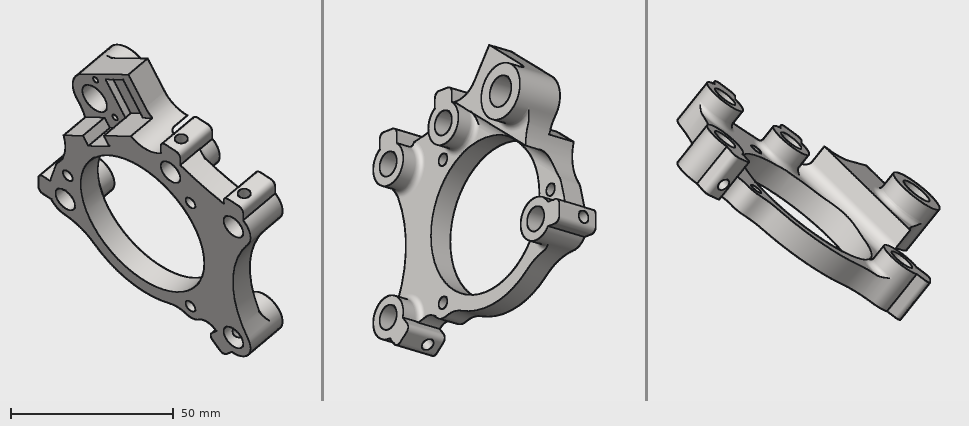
import cadquery as cq
import math


PLATE_BACK = 7.95
STEP_DEPTH = 10.0
BOSS_BACK = 15.0
ARM_BACK = 19.0
SENSOR_BOSS_BACK = 26.5

BORE_RADIUS = 25.2
RING_RADIUS = 30.3

BOLT_HOLE_RADIUS = 4.0
BOSS_RADIUS = 7.0
INNER_BOLT_CIRCLE = 33.5
OUTER_BOLT_CIRCLE = 44.7
TOP_BOLT_ANGLE = 70
LEFT_BOLT_ANGLE = 200
RIGHT_BOLT_ANGLE = 34
BOSS_FILLET = 2.0
LUG_REACH = 11.0
LUG_WIDTH = 7.95
LUG_CORNER = 2.0
LUG_HOLE_RADIUS = 2.0
LUG_HOLE_Y = 5.0

SCREW_HOLE_RADIUS = 2.0
SCREW_PAD_RADIUS = 5.0
SCREW_CIRCLE = 30.4
SCREW_ANGLE = 50

ARM_ANGLE = 35
SENSOR_CIRCLE = 39.95
SENSOR_ANGLE = 135
SENSOR_BOSS_RADIUS = 9.0
SENSOR_HOLE_RADIUS = 5.0
ARM_LENGTH = 23.1
ARM_WALL_INSET = 11.9
ARM_WALL_FILLET = 5.0
STEP_INSET = 7.0
NOTCH_LENGTH = 10.4
NOTCH_WIDTH = 3.8
POCKET_LENGTH = 8.7
POCKET_WIDTH = 14.1
POCKET_DEPTH = 2.5
PIN_RADIUS = 1.0
PIN_ALONG = 5.3
PIN_ACROSS = 6.9
PIN_DEPTH = 5.0

RIGHT_HOLLOW = 39.95
TOP_HOLLOW = 100.0
ARM_HOLLOW = 10.0
LEFT_HOLLOW = 16.0
LOWER_LEFT_HOLLOW = 20.0
LOWER_HOLLOW = 10.0
LUG_HOLLOW = 5.0

OVERSIZE = 173.0
ARC_INSET = 1 - math.sqrt(0.5)


def polar(radius, degrees):
    angle = math.radians(degrees)
    return (radius * math.cos(angle), radius * math.sin(angle))


def offset(point, direction, distance):
    return (point[0] + direction[0] * distance, point[1] + direction[1] * distance)


def dot(a, b):
    return a[0] * b[0] + a[1] * b[1]


ALONG = polar(1, ARM_ANGLE)
ACROSS = polar(1, ARM_ANGLE + 90)

TOP_BOLT = polar(INNER_BOLT_CIRCLE, TOP_BOLT_ANGLE)
LEFT_BOLT = polar(INNER_BOLT_CIRCLE, LEFT_BOLT_ANGLE)
UPPER_RIGHT_BOLT = polar(OUTER_BOLT_CIRCLE, RIGHT_BOLT_ANGLE)
LOWER_RIGHT_BOLT = polar(OUTER_BOLT_CIRCLE, -RIGHT_BOLT_ANGLE)
SENSOR = polar(SENSOR_CIRCLE, SENSOR_ANGLE)
LEFT_SCREW = polar(SCREW_CIRCLE, 180)
UPPER_SCREW = polar(SCREW_CIRCLE, SCREW_ANGLE)
LOWER_SCREW = polar(SCREW_CIRCLE, -SCREW_ANGLE)

LUGS = [
    (TOP_BOLT, 90),
    (UPPER_RIGHT_BOLT, 90),
    (LEFT_BOLT, 180),
    (LOWER_RIGHT_BOLT, 180 + SCREW_ANGLE),
]

SENSOR_ALONG = dot(SENSOR, ALONG)
SENSOR_ACROSS = dot(SENSOR, ACROSS)
STEP_ACROSS = SENSOR_ACROSS - STEP_INSET



def touching_circle(circle_a, circle_b, radius):
    """Circle resting on the outside of two others, right of the way from a to b."""
    (ax, az), radius_a = circle_a
    (bx, bz), radius_b = circle_b
    span = math.hypot(bx - ax, bz - az)
    forward = ((bx - ax) / span, (bz - az) / span)
    right = (forward[1], -forward[0])
    reach_a = radius_a + radius
    reach_b = radius_b + radius
    run = (span ** 2 + reach_a ** 2 - reach_b ** 2) / (2 * span)
    rise = math.sqrt(reach_a ** 2 - run ** 2)
    return (offset(offset((ax, az), forward, run), right, rise), radius)


def touch_point(circle_a, circle_b):
    """Point where two circles touch from outside."""
    (ax, az), radius_a = circle_a
    (bx, bz), radius_b = circle_b
    share = radius_a / (radius_a + radius_b)
    return (ax + (bx - ax) * share, az + (bz - az) * share)


def arc_to(sketch, circle, start, end, turn):
    """Arc about a circle's centre; turn is +1 counterclockwise, -1 clockwise."""
    (cx, cz), radius = circle
    start_angle = math.atan2(start[1] - cz, start[0] - cx)
    end_angle = math.atan2(end[1] - cz, end[0] - cx)
    sweep = (turn * (end_angle - start_angle)) % (2 * math.pi)
    middle = start_angle + turn * sweep / 2
    return sketch.threePointArc((cx + radius * math.cos(middle), cz + radius * math.sin(middle)), end)


def make_outline(depth):
    """Outer shape without lugs, walked counterclockwise from the lower right boss."""
    lower_right = (LOWER_RIGHT_BOLT, BOSS_RADIUS)
    upper_right = (UPPER_RIGHT_BOLT, BOSS_RADIUS)
    top = (TOP_BOLT, BOSS_RADIUS)
    sensor = (SENSOR, SENSOR_BOSS_RADIUS)
    left_pad = (LEFT_SCREW, SCREW_PAD_RADIUS)
    left = (LEFT_BOLT, BOSS_RADIUS)
    ring = ((0, 0), RING_RADIUS)
    lower_pad = (LOWER_SCREW, SCREW_PAD_RADIUS)

    right_hollow = touching_circle(lower_right, upper_right, RIGHT_HOLLOW)
    top_hollow = touching_circle(upper_right, top, TOP_HOLLOW)
    left_hollow = touching_circle(sensor, left_pad, LEFT_HOLLOW)
    lower_left_hollow = touching_circle(left, ring, LOWER_LEFT_HOLLOW)
    lower_hollow = touching_circle(ring, lower_pad, LOWER_HOLLOW)
    lug_hollow = touching_circle(lower_pad, lower_right, LUG_HOLLOW)

    arm_end = SENSOR_ALONG + ARM_LENGTH
    arm_edge = SENSOR_ACROSS + SENSOR_BOSS_RADIUS
    hollow_along = arm_end + ARM_HOLLOW
    aside = hollow_along - dot(TOP_BOLT, ALONG)
    hollow_across = dot(TOP_BOLT, ACROSS) + math.sqrt((BOSS_RADIUS + ARM_HOLLOW) ** 2 - aside ** 2)
    arm_hollow = (offset(offset((0, 0), ALONG, hollow_along), ACROSS, hollow_across), ARM_HOLLOW)
    hollow_end = offset(arm_hollow[0], ALONG, -ARM_HOLLOW)
    arm_tip = offset(offset((0, 0), ALONG, arm_end), ACROSS, arm_edge)
    sensor_top = offset(SENSOR, ACROSS, SENSOR_BOSS_RADIUS)

    run = (LEFT_BOLT[0] - LEFT_SCREW[0], LEFT_BOLT[1] - LEFT_SCREW[1])
    edge_normal = math.degrees(math.atan2(run[1], run[0])
                               - math.acos((SCREW_PAD_RADIUS - BOSS_RADIUS) / math.hypot(*run)))
    edge_start = offset(LEFT_SCREW, polar(1, edge_normal), SCREW_PAD_RADIUS)
    edge_end = offset(LEFT_BOLT, polar(1, edge_normal), BOSS_RADIUS)

    start = touch_point(lug_hollow, lower_right)
    stretches = [
        (lower_right, touch_point(lower_right, right_hollow), 1),
        (right_hollow, touch_point(right_hollow, upper_right), -1),
        (upper_right, touch_point(upper_right, top_hollow), 1),
        (top_hollow, touch_point(top_hollow, top), -1),
        (top, touch_point(top, arm_hollow), 1),
        (arm_hollow, hollow_end, -1),
        (None, arm_tip, 0),
        (None, sensor_top, 0),
        (sensor, touch_point(sensor, left_hollow), 1),
        (left_hollow, touch_point(left_hollow, left_pad), -1),
        (left_pad, edge_start, 1),
        (None, edge_end, 0),
        (left, touch_point(left, lower_left_hollow), 1),
        (lower_left_hollow, touch_point(lower_left_hollow, ring), -1),
        (ring, touch_point(ring, lower_hollow), 1),
        (lower_hollow, touch_point(lower_hollow, lower_pad), -1),
        (lower_pad, touch_point(lower_pad, lug_hollow), 1),
        (lug_hollow, start, -1),
    ]
    sketch = cq.Workplane("XZ").moveTo(*start)
    here = start
    for circle, end, turn in stretches:
        if circle is None:
            sketch = sketch.lineTo(*end)
        else:
            sketch = arc_to(sketch, circle, here, end, turn)
        here = end
    return sketch.close().extrude(-depth)



def cylinder(centre, radius, back, front=0.0):
    return cq.Workplane("XZ", origin=(0, front, 0)).center(*centre).circle(radius).extrude(front - back)


def filleted_boss(centre, radius, base, back):
    """Round boss with a ring-shaped fillet where it leaves its base face."""
    bend = BOSS_FILLET * ARC_INSET
    foot = radius + BOSS_FILLET
    skirt = (
        cq.Workplane("XY", origin=(centre[0], 0, centre[1]))
        .moveTo(0, 0)
        .lineTo(foot, 0)
        .lineTo(foot, base)
        .threePointArc((radius + bend, base + bend), (radius, base + BOSS_FILLET))
        .lineTo(0, base + BOSS_FILLET)
        .close()
        .revolve(360, (0, 0), (0, 1))
    )
    return cylinder(centre, radius, back).union(skirt)


def arm_block():
    """Thick rear part behind a straight wall that curves down into the plate."""
    wall = SENSOR_ACROSS - ARM_WALL_INSET
    bend = ARM_WALL_FILLET * ARC_INSET
    side_plane = cq.Plane(origin=(0, 0, 0), xDir=(ACROSS[0], 0, ACROSS[1]), normal=(-ALONG[0], 0, -ALONG[1]))
    return (
        cq.Workplane(side_plane)
        .moveTo(wall - ARM_WALL_FILLET, 0)
        .lineTo(wall - ARM_WALL_FILLET, PLATE_BACK)
        .threePointArc((wall - bend, PLATE_BACK + bend), (wall, PLATE_BACK + ARM_WALL_FILLET))
        .lineTo(wall, ARM_BACK)
        .lineTo(OVERSIZE, ARM_BACK)
        .lineTo(OVERSIZE, 0)
        .close()
        .extrude(OVERSIZE, both=True)
    )


def arm_box(along, across, length, width, back):
    """Box from the front face, squared to the arm, given by its lowest corner."""
    front_plane = cq.Plane(origin=(0, 0, 0), xDir=(ALONG[0], 0, ALONG[1]), normal=(0, -1, 0))
    return cq.Workplane(front_plane).center(along, across).rect(length, width, centered=False).extrude(-back)


def lug(centre, direction):
    """Block with two rounded corners, reaching outward from a bolt centre."""
    return (
        cq.Workplane("XY")
        .box(LUG_REACH, BOSS_BACK, LUG_WIDTH, centered=(False, False, True))
        .edges("|Y and >X")
        .fillet(LUG_CORNER)
        .rotate((0, 0, 0), (0, 1, 0), -direction)
        .translate((centre[0], 0, centre[1]))
    )


def lug_hole(centre, direction):
    """Cross hole running from the lug's end into the bolt hole."""
    outward = polar(1, direction)
    plane = cq.Plane(origin=(centre[0], LUG_HOLE_Y, centre[1]), xDir=(0, 1, 0),
                     normal=(outward[0], 0, outward[1]))
    return cq.Workplane(plane).circle(LUG_HOLE_RADIUS).extrude(LUG_REACH)


body = cylinder((0, 0), OVERSIZE, PLATE_BACK).union(arm_block())
for bolt, _ in LUGS:
    body = body.union(filleted_boss(bolt, BOSS_RADIUS, PLATE_BACK, BOSS_BACK))
body = body.union(filleted_boss(SENSOR, SENSOR_BOSS_RADIUS, ARM_BACK, SENSOR_BOSS_BACK))
body = body.intersect(make_outline(SENSOR_BOSS_BACK))
for bolt, lug_direction in LUGS:
    body = body.union(lug(bolt, lug_direction))

notch_end = SENSOR_ALONG + NOTCH_LENGTH
body = body.cut(arm_box(-OVERSIZE / 2, STEP_ACROSS, OVERSIZE, OVERSIZE, STEP_DEPTH))
body = body.cut(arm_box(SENSOR_ALONG, STEP_ACROSS - NOTCH_WIDTH, NOTCH_LENGTH, NOTCH_WIDTH, STEP_DEPTH))
body = body.cut(arm_box(notch_end, STEP_ACROSS, POCKET_LENGTH, POCKET_WIDTH, STEP_DEPTH + POCKET_DEPTH))

body = body.cut(cylinder((0, 0), BORE_RADIUS, SENSOR_BOSS_BACK))
body = body.cut(cylinder(SENSOR, SENSOR_HOLE_RADIUS, SENSOR_BOSS_BACK))
for bolt, lug_direction in LUGS:
    body = body.cut(cylinder(bolt, BOLT_HOLE_RADIUS, BOSS_BACK))
    body = body.cut(lug_hole(bolt, lug_direction))
for screw in (LEFT_SCREW, UPPER_SCREW, LOWER_SCREW):
    body = body.cut(cylinder(screw, SCREW_HOLE_RADIUS, PLATE_BACK))
for side in (-1, 1):
    pin = offset(offset(SENSOR, ALONG, PIN_ALONG), ACROSS, side * PIN_ACROSS)
    body = body.cut(cylinder(pin, PIN_RADIUS, STEP_DEPTH + PIN_DEPTH, STEP_DEPTH))

result = body